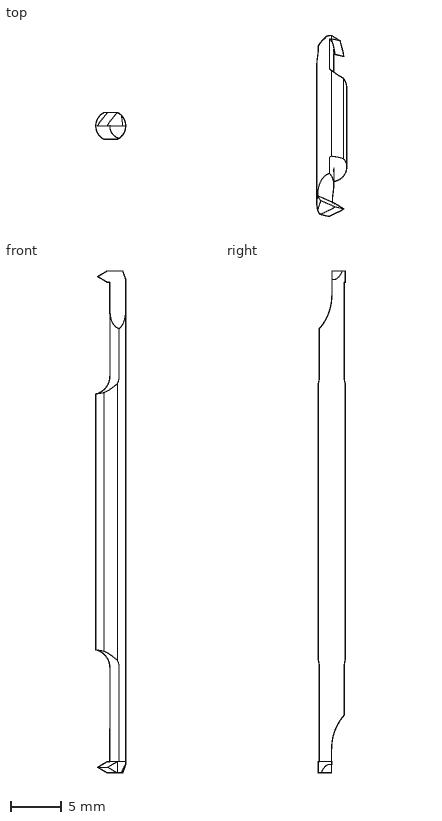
import cadquery as cq
import math


total_length = 50.0
shank_diameter = 3.0
width_over_flats = 2.7
half_length = total_length / 2
shank_radius = shank_diameter / 2
flat_offset = width_over_flats / 2

neck_radius = 1.3
neck_axis_x = 1.2
neck_flare_radius = 1.8
neck_flare_start = 14.5

rake_flat_length = 2.45
rake_runout_radius = 5.0

head_height = 1.13
nose_x = -1.32
nose_length = 0.96
land_depth = 0.35
land_clearance = 0.6
body_clearance = 0.8

bevel_top_x = 1.2
bevel_angle = 20.0
bevel_clearance = 0.13

head_bottom = half_length - head_height
nose_z = half_length - head_height / 2
oversize = 2 * shank_diameter


def turned_end(shape):
    """The same shape at the lower end."""
    return shape.rotate((0, 0, 0), (1, 0, 0), 180)


def shank_stock(bottom, top):
    """Length of the flatted rod between two heights."""
    rod = cq.Workplane("XY").workplane(offset=bottom).circle(shank_radius).extrude(top - bottom)
    slab = (
        cq.Workplane("XY")
        .workplane(offset=bottom)
        .rect(oversize, width_over_flats)
        .extrude(top - bottom)
    )
    return rod.intersect(slab)


def neck_envelope():
    """Solid of revolution about the neck axis that leaves the two necks and their flares."""
    flare_end = neck_flare_start - neck_flare_radius
    outer_radius = neck_radius + neck_flare_radius
    flare_middle_radius = outer_radius - neck_flare_radius * math.cos(math.pi / 4)
    flare_middle = neck_flare_start - neck_flare_radius * math.sin(math.pi / 4)
    return (
        cq.Workplane("XZ")
        .moveTo(0, -head_bottom)
        .lineTo(neck_radius, -head_bottom)
        .lineTo(neck_radius, -neck_flare_start)
        .threePointArc((flare_middle_radius, -flare_middle), (outer_radius, -flare_end))
        .lineTo(outer_radius, flare_end)
        .threePointArc((flare_middle_radius, flare_middle), (neck_radius, neck_flare_start))
        .lineTo(neck_radius, head_bottom)
        .lineTo(0, head_bottom)
        .close()
        .revolve(360, (0, 0, 0), (0, 1, 0))
        .translate((neck_axis_x, 0, 0))
    )


def rake_cut():
    """Space in front of the upper rake face, with its arc runout."""
    flat_end = half_length - rake_flat_length
    return (
        cq.Workplane("YZ")
        .moveTo(0, half_length)
        .lineTo(0, flat_end)
        .radiusArc((-rake_runout_radius, flat_end - rake_runout_radius), rake_runout_radius)
        .lineTo(-rake_runout_radius, half_length)
        .close()
        .extrude(oversize / 2, both=True)
    )


def sheared_prism(profile, start_y, depth, clearance):
    """An XZ profile, placed at start_y and swept toward +Y while shifting along X."""
    wire = cq.Wire.makePolygon([cq.Vector(x, start_y, z) for x, z in profile], close=True)
    return cq.Workplane(cq.Solid.extrudeLinear(wire, [], cq.Vector(clearance * depth, depth, 0)))


def nose_profile(shift):
    """Head outline on the nose side, moved along X by the given shift."""
    return [
        (nose_x + shift, nose_z),
        (nose_x + nose_length + shift, half_length),
        (oversize, half_length),
        (oversize, head_bottom),
        (nose_x + nose_length + shift, head_bottom),
    ]


def cutting_head():
    """Upper cutting head, from its underside to the end of the tool."""
    land = sheared_prism(nose_profile(0), 0, land_depth, land_clearance)
    behind_land = sheared_prism(
        nose_profile(land_clearance * land_depth),
        land_depth,
        flat_offset - land_depth,
        body_clearance,
    )
    bevel_bottom_x = bevel_top_x + head_height * math.tan(math.radians(bevel_angle))
    bevel_side = sheared_prism(
        [
            (bevel_top_x, half_length),
            (bevel_bottom_x, head_bottom),
            (-oversize, head_bottom),
            (-oversize, half_length),
        ],
        0,
        flat_offset,
        -bevel_clearance,
    )
    return shank_stock(head_bottom, half_length).intersect(land.union(behind_land)).intersect(bevel_side)


upper_rake = rake_cut()
bar = (
    shank_stock(-head_bottom, head_bottom)
    .intersect(neck_envelope())
    .cut(upper_rake)
    .cut(turned_end(upper_rake))
    .union(cutting_head())
    .clean()
)

lower_head = turned_end(cutting_head())

result = cq.Compound.makeCompound([bar.val(), lower_head.val()])